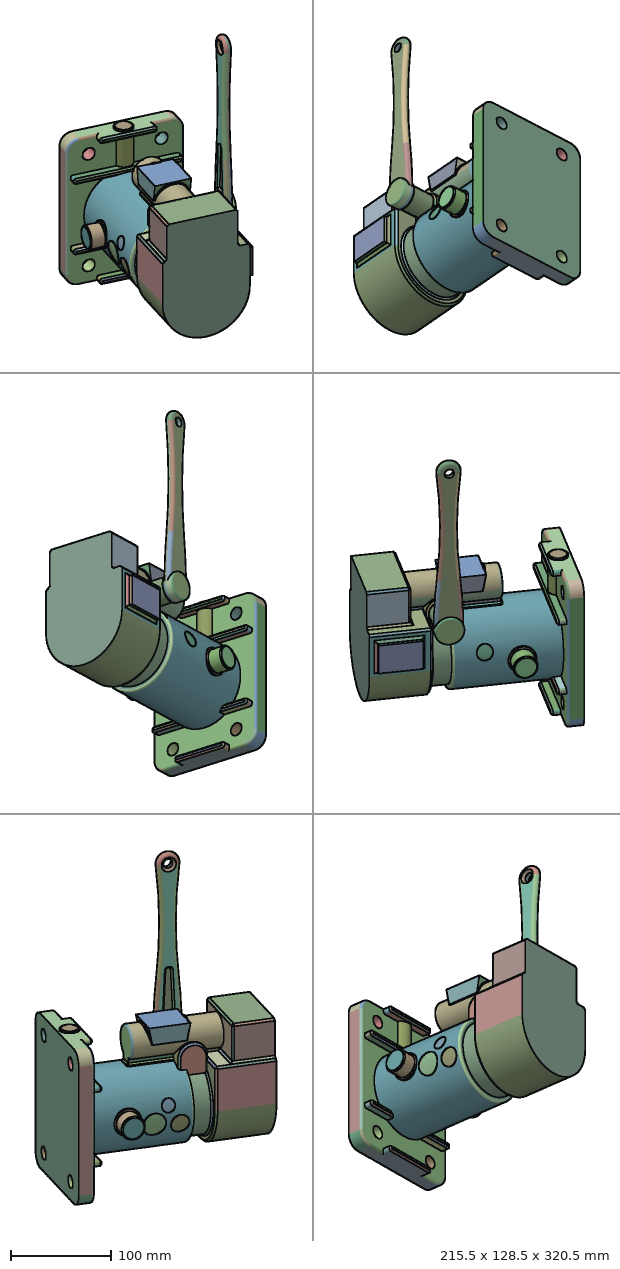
import cadquery as cq

CUT_MARGIN = 3.2
FLARE = 0.95

flange_width = 128.5
flange_thick = 17.0
flange_top = 89.0
flange_bottom = -77.5
flange_mid_z = (flange_top + flange_bottom) / 2
corner_radius = 13.8
flange_edge_round = 2.5
bolt_hole_dia = 13.5
bolt_pitch_y = 79.5
bolt_pitch_z = 127.0

rib_reach = 26.5
rib_thick = 6.5
rib_tip_chamfer = 2.0
rib_end_round = 3.0
end_rib_width = 62.2
inner_rib_width = 119.2
inner_rib_pitch = 80.0

port_dia = 20.5
port_x = 13.0
port_top = 91.0
port_chamfer = 1.3

barrel_dia = 90.0
barrel_end = 129.8
barrel_edge_round = 2.2
neck_dia = 79.5
neck_foot = 2.0
trunnion_dia = 25.0
trunnion_x = 59.0
trunnion_span = 123.7
trunnion_chamfer = 1.3
trunnion_foot = 2.0
spot_depth = 0.48
spots = [
    (87.5, -6.7, 24.5, -1),
    (102.5, 11.5, 14.0, -1),
    (114.8, -9.3, 19.5, -1),
    (96.8, 11.5, 16.7, 1),
]

part_end = 215.5
drive_start = 150.5
drive_radius = 47.8
drive_top = 47.8
edge_round = 2.2
cap_start = 170.2
cap_top = 89.5
cap_y_min = -43.0
cap_y_max = 34.5
cover_length = 45.5
cover_x = 184.5
cover_height = 32.0
cover_mid_z = 22.5
cover_y = 54.2
cover_foot = 3.0

valve_dia = 36.2
valve_start = 72.8
valve_z = 67.5
valve_rib_width = 14.0
valve_rib_foot = 2.0
valve_rib_foot_top = 47.5
valve_box_top = 87.2
valve_box_bottom = 68.5
valve_box_x_min = 90.5
valve_box_x_max = 134.3
valve_box_width = 39.7
valve_box_draft = 3.5
valve_collar_length = 2.2
valve_collar_height = 1.0

shaft_dia = 26.5
shaft_x = 136.2
shaft_z = 50.3
shaft_end = 48.7
bearing_dia = 31.5
bearing_width = 45.5
bearing_chamfer = 2.2

hub_dia = 30.0
hub_thick = 13.0
hub_round = 1.5
lever_front = 50.0
lever_thick = 8.3
lever_edge_round = 4.0
eye_radius = 12.5
lever_top = 243.0
eye_z = lever_top - eye_radius
waist_z = 166.0
waist_half = 8.5
eye_hole_dia = 9.5
eye_sink = 3.0
groove_depth = 2.2
groove_taper = 40
groove_top_z = 116.0
groove_top_half = 4.5
groove_root_half = 6.7
groove_bottom_z = 66.7


def box(x_min, x_max, y_min, y_max, z_min, z_max):
    """Axis-aligned block between the given limits."""
    return cq.Workplane("XY").box(
        x_max - x_min, y_max - y_min, z_max - z_min, centered=False
    ).translate((x_min, y_min, z_min))


def x_cylinder(dia, x_min, x_max, z=0.0):
    """Cylinder along X."""
    return cq.Workplane("YZ", origin=(x_min, 0, z)).circle(dia / 2).extrude(x_max - x_min)


def y_cylinder(dia, x, z, y_min, y_max):
    """Cylinder along Y."""
    return cq.Workplane("XZ", origin=(x, y_min, z)).circle(dia / 2).extrude(y_min - y_max)


def make_flange():
    flange = box(0, flange_thick, -flange_width / 2, flange_width / 2, flange_bottom, flange_top)
    flange = flange.edges("|X").fillet(corner_radius)
    flange = flange.faces(">X").edges().fillet(flange_edge_round)

    rib_rows = [
        (flange_top - rib_thick / 2, end_rib_width),
        (flange_mid_z + inner_rib_pitch / 2, inner_rib_width),
        (flange_mid_z - inner_rib_pitch / 2, inner_rib_width),
        (flange_bottom + rib_thick / 2, end_rib_width),
    ]
    for rib_z, width in rib_rows:
        rib = box(flange_thick / 2, rib_reach, -width / 2, width / 2,
                  rib_z - rib_thick / 2, rib_z + rib_thick / 2)
        rib = rib.edges("|X").fillet(rib_end_round)
        flange = flange.union(rib.faces(">X").edges().chamfer(rib_tip_chamfer))

    port = cq.Workplane("XY", origin=(port_x, 0, 0)).circle(port_dia / 2).extrude(port_top)
    return flange.union(port.faces(">Z").chamfer(port_chamfer))


def cut_bolt_holes(body):
    holes = (
        cq.Workplane("YZ", origin=(-CUT_MARGIN, 0, flange_mid_z))
        .rarray(bolt_pitch_y, bolt_pitch_z, 2, 2)
        .circle(bolt_hole_dia / 2)
        .extrude(flange_thick + 2 * CUT_MARGIN)
    )
    return body.cut(holes)


def make_barrel():
    barrel = x_cylinder(barrel_dia, flange_thick / 2, barrel_end)
    barrel = barrel.faces(">X").edges().fillet(barrel_edge_round)
    neck = x_cylinder(neck_dia, barrel_end - CUT_MARGIN, drive_start + CUT_MARGIN)
    neck_flare = x_cylinder(neck_dia + 2 * neck_foot, drive_start - neck_foot, drive_start + CUT_MARGIN)
    neck = neck.union(neck_flare.faces("<X").edges().chamfer(FLARE * neck_foot))

    trunnions = y_cylinder(trunnion_dia, trunnion_x, 0, -trunnion_span / 2, trunnion_span / 2)
    trunnions = trunnions.faces("<Y or >Y").chamfer(trunnion_chamfer)
    foot_span = barrel_dia + trunnion_foot
    feet = y_cylinder(trunnion_dia + 2 * trunnion_foot, trunnion_x, 0, -foot_span / 2, foot_span / 2)
    feet = feet.faces("<Y or >Y").chamfer(trunnion_foot / 2, FLARE * trunnion_foot)
    return barrel.union(neck).union(feet).union(trunnions)


def cut_spots(body):
    """Shallow round recesses whose floors follow the barrel."""
    core = x_cylinder(barrel_dia - 2 * spot_depth, 0, barrel_end)
    for x, z, dia, side in spots:
        tool = y_cylinder(dia, x, z, min(0, side * barrel_dia), max(0, side * barrel_dia))
        body = body.cut(tool.cut(core))
    return body


def make_drive():
    """Housing with a half-round bottom and flat sides, plus the cap on top and the side cover."""
    drive = (
        cq.Workplane("YZ", origin=(drive_start, 0, 0))
        .moveTo(drive_radius, 0)
        .lineTo(drive_radius, drive_top)
        .lineTo(-drive_radius, drive_top)
        .lineTo(-drive_radius, 0)
        .threePointArc((0, -drive_radius), (drive_radius, 0))
        .close()
        .extrude(part_end - drive_start)
    )
    drive = drive.faces("<X").edges().chamfer(edge_round)
    drive = drive.faces(">Z").edges("|X").chamfer(edge_round)

    cap = box(cap_start, part_end, cap_y_min, cap_y_max, 0, cap_top)
    cap = cap.edges("(|X and >Z) or (|Y and >Z and <X) or (|Z and <X)").chamfer(edge_round)
    foot_top = drive_top + edge_round
    foot = box(cap_start - edge_round, part_end, cap_y_min - edge_round, cap_y_max + edge_round, 0, foot_top)
    foot = foot.edges(">Z and (not >X)").chamfer(FLARE * edge_round)

    cover = (
        cq.Workplane("XZ", origin=(cover_x, 0, cover_mid_z))
        .rect(cover_length, cover_height)
        .extrude(-cover_y)
    )
    cover_flare = (
        cq.Workplane("XZ", origin=(cover_x, 0, cover_mid_z))
        .rect(cover_length + 2 * cover_foot, cover_height + 2 * cover_foot)
        .extrude(-drive_radius - cover_foot)
        .faces(">Y").edges().chamfer(FLARE * cover_foot)
    )
    return drive.union(foot).union(cap).union(cover_flare).union(cover)


def valve_box_block(top_spread, width):
    """Block with sloped ends; its top reaches top_spread past the box at each end."""
    return (
        cq.Workplane("XZ", origin=(0, width / 2, 0))
        .polyline([
            (valve_box_x_min - top_spread, valve_box_top),
            (valve_box_x_max + top_spread, valve_box_top),
            (valve_box_x_max - valve_box_draft, valve_box_bottom),
            (valve_box_x_min + valve_box_draft, valve_box_bottom),
        ])
        .close()
        .extrude(width)
    )


def make_valve():
    """Valve tube above the barrel, the rib that carries it and the box on top."""
    tube = x_cylinder(valve_dia, valve_start, cap_start + CUT_MARGIN, valve_z)
    tube = tube.faces("<X").edges().fillet(edge_round)

    rib = box(valve_start, cap_start, -valve_rib_width / 2, valve_rib_width / 2, 0, valve_z)
    foot_half = valve_rib_width / 2 + valve_rib_foot
    rib_foot = box(valve_start - valve_rib_foot, cap_start, -foot_half, foot_half, 0, valve_rib_foot_top)
    rib_foot = rib_foot.edges("<X and |Z").chamfer(valve_rib_foot)
    rib_foot = rib_foot.faces(">Z").edges("not >X").chamfer(FLARE * valve_rib_foot)

    collar_dia = valve_dia + 2 * valve_collar_height
    collar = x_cylinder(collar_dia, valve_start, cap_start, valve_z)
    collar = collar.intersect(valve_box_block(valve_collar_length, valve_box_width))
    valve_box = valve_box_block(0, valve_box_width)
    return tube.union(rib).union(rib_foot).union(collar).union(valve_box)


def make_bearing():
    """Round-topped block across the barrel that carries the lever shaft."""
    radius = bearing_dia / 2
    block = (
        cq.Workplane("XZ", origin=(shaft_x, bearing_width / 2, 0))
        .moveTo(-radius, 0)
        .lineTo(-radius, shaft_z)
        .threePointArc((0, shaft_z + radius), (radius, shaft_z))
        .lineTo(radius, 0)
        .close()
        .extrude(bearing_width)
    )
    block = block.faces("<Y or >Y").edges("not <Z").chamfer(bearing_chamfer)
    shaft = y_cylinder(shaft_dia, shaft_x, shaft_z, 0, shaft_end)
    return block.union(shaft)


def make_housing():
    body = make_barrel()
    body = cut_spots(body)
    body = body.union(make_flange())
    body = body.union(make_drive())
    body = body.union(make_valve())
    body = body.union(make_bearing())
    return cut_bolt_holes(body)


def lever_tangent_points():
    """Points where the hollow side of the arm meets the eye arc and the root arc, all tangent."""
    hub_radius = hub_dia / 2
    eye_rise = eye_z - waist_z
    side_radius = (waist_half**2 + eye_rise**2 - eye_radius**2) / (2 * (eye_radius - waist_half))
    side_x = waist_half + side_radius

    eye_share = eye_radius / (eye_radius + side_radius)
    eye_tangent = (side_x * eye_share, eye_z - eye_rise * eye_share)

    root_drop = waist_z - shaft_z
    flare = hub_radius - waist_half
    radius_sum = (flare**2 + root_drop**2) / (2 * flare)
    side_share = side_radius / radius_sum
    root_tangent = (side_x - (radius_sum - flare) * side_share, waist_z - root_drop * side_share)
    return eye_tangent, root_tangent


def make_lever():
    hub_radius = hub_dia / 2
    (eye_tan_x, eye_tan_z), (root_tan_x, root_tan_z) = lever_tangent_points()
    arm = (
        cq.Workplane("XZ", origin=(shaft_x, lever_front, 0))
        .moveTo(hub_radius, shaft_z)
        .threePointArc((0, shaft_z - hub_radius), (-hub_radius, shaft_z))
        .tangentArcPoint((-root_tan_x, root_tan_z), relative=False)
        .tangentArcPoint((-eye_tan_x, eye_tan_z), relative=False)
        .threePointArc((0, lever_top), (eye_tan_x, eye_tan_z))
        .tangentArcPoint((root_tan_x, root_tan_z), relative=False)
        .tangentArcPoint((hub_radius, shaft_z), relative=False)
        .close()
        .extrude(-lever_thick)
        .faces("<Y or >Y").edges().fillet(lever_edge_round)
    )
    hub = y_cylinder(hub_dia, shaft_x, shaft_z, shaft_end, shaft_end + hub_thick)
    hub = hub.faces("<Y or >Y").edges().fillet(hub_round)

    groove = (
        cq.Workplane("XZ", origin=(shaft_x, lever_front, 0))
        .moveTo(-groove_root_half, groove_bottom_z)
        .lineTo(-groove_top_half, groove_top_z)
        .threePointArc((0, groove_top_z + groove_top_half), (groove_top_half, groove_top_z))
        .lineTo(groove_root_half, groove_bottom_z)
        .close()
        .extrude(-groove_depth, taper=groove_taper)
    )
    eye_hole = y_cylinder(eye_hole_dia, shaft_x, eye_z, 0, flange_width)
    sink_radius = eye_hole_dia / 2 + eye_sink
    front_sink = cq.Workplane(cq.Solid.makeCone(
        sink_radius, eye_hole_dia / 2, eye_sink,
        pnt=cq.Vector(shaft_x, lever_front, eye_z), dir=cq.Vector(0, 1, 0)))
    return arm.cut(groove).union(hub).cut(eye_hole).cut(front_sink)


housing = make_housing()
lever = make_lever()

result = cq.Compound.makeCompound([housing.solids().val(), lever.solids().val()])